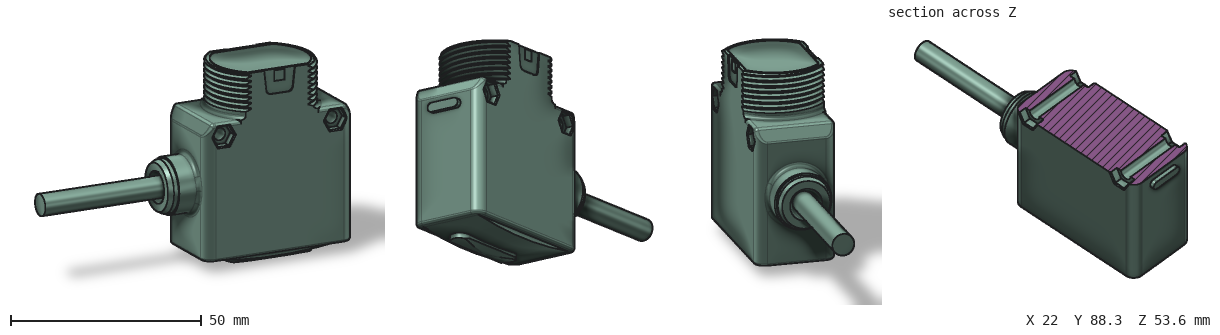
import math

import cadquery as cq


body_width = 22.0
body_length = 43.88
body_height = 37.8
corner_radius = 3.0
floor_edge_radius = 0.8
top_edge_radius = 1.0
slope_drop = 3.6
slope_angle = 30.0

barrel_top = 50.3
crest_radius = 14.85
root_radius = 13.85
thread_pitch = 1.5
thread_turns = 8
thread_start_below_top = 11.1
groove_floor_width = 0.2
groove_mouth_width = 1.35
groove_overshoot = 0.1
rim_chamfer = 0.5
neck_fillet = 1.0
lens_radius = 13.3
lens_width = 19.8
lens_recess = 0.2

marker_top_width = 9.1
marker_bottom_width = 7.6
marker_height = 6.65
marker_corner_radius = 1.5
marker_depth = 0.4
window_width = 3.0
window_height = 2.9
window_below_top = 0.35

hole_spacing = 33.0
hole_diameter = 3.4
hole_height = 34.05
nut_width = 5.5
nut_pocket_depth = 2.5
nut_chamfer = 0.35

cable_height = 19.15
gland_radius = 7.8
gland_length = 6.0
gland_fillet = 1.2
collar_radius = 7.3
collar_length = 2.75
collar_chamfer_length = 1.4
collar_end_radius = 6.55
gland_mouth_radius = 4.4
gland_mouth_depth = 2.5
cable_radius = 3.0
overall_length = 88.27

lamp_width = 9.8
lamp_height = 2.5
lamp_length = 1.31
lamp_z = 31.0

lid_width = 18.0
lid_length = 39.4
lid_sag = 1.45
dome_x = 4.0
dome_width = 5.8
dome_length = 25.3
dome_depth = 3.25
dome_rise = 1.0
dome_cross_rise = 1.1

side = body_width / 2
back = body_length / 2
front = -back
lamp_end = back + lamp_length
cable_end = lamp_end - overall_length
slope_run = slope_drop * math.tan(math.radians(slope_angle))


def make_housing():
    """Block with sloped shoulders, rounded corners and a rounded upper rim."""
    block = (
        cq.Workplane("YZ")
        .moveTo(front, 0)
        .lineTo(back, 0)
        .lineTo(back, body_height - slope_drop)
        .lineTo(back - slope_run, body_height)
        .lineTo(front + slope_run, body_height)
        .lineTo(front, body_height - slope_drop)
        .close()
        .extrude(side, both=True)
    )
    block = block.edges("|Z").fillet(corner_radius)
    block = block.faces("<Z").edges().fillet(floor_edge_radius)
    return block.faces(">Z or (not (#Z or |Z))").edges().fillet(top_edge_radius)


def thread_groove():
    """Helical cutter with a trapezoidal section, running out through the top of the barrel."""
    start = barrel_top - thread_start_below_top
    outer = crest_radius + groove_overshoot
    flank_slope = (groove_mouth_width - groove_floor_width) / (crest_radius - root_radius) / 2
    mouth = groove_mouth_width / 2 + groove_overshoot * flank_slope
    helix = cq.Wire.makeHelix(thread_pitch, thread_pitch * thread_turns, crest_radius)
    section = cq.Workplane("XZ").polyline(
        [
            (root_radius, -groove_floor_width / 2),
            (root_radius, groove_floor_width / 2),
            (outer, mouth),
            (outer, -mouth),
        ]
    ).close()
    return section.sweep(cq.Workplane(helix), isFrenet=True).translate((0, 0, start))


def make_barrel():
    """Threaded barrel with a chamfered rim, a flared foot, a recessed lens and two flats."""
    foot = body_height - neck_fillet
    barrel = (
        cq.Workplane("XZ")
        .moveTo(0, foot - neck_fillet)
        .lineTo(crest_radius + neck_fillet, foot - neck_fillet)
        .lineTo(crest_radius + neck_fillet, body_height)
        .radiusArc((crest_radius, body_height + neck_fillet), neck_fillet)
        .lineTo(crest_radius, barrel_top - rim_chamfer)
        .lineTo(crest_radius - rim_chamfer, barrel_top)
        .lineTo(0, barrel_top)
        .close()
        .revolve(360, (0, 0, 0), (0, 1, 0))
    )
    slab = cq.Workplane("XY").box(body_width, body_length, 2 * barrel_top)
    lens_floor = cq.Workplane("XY", origin=(0, 0, barrel_top - lens_recess))
    lens = lens_floor.circle(lens_radius).extrude(lens_recess)
    lens_band = cq.Workplane("XY").box(lens_width, body_length, 2 * barrel_top)
    groove = thread_groove().intersect(slab)
    return barrel.intersect(slab).cut(groove).cut(lens.intersect(lens_band))


def marker_recess():
    """Cutter for both marker recesses; each leaves a small raised window."""
    bottom = barrel_top - marker_height
    outline = [
        (-marker_top_width / 2, barrel_top),
        (marker_top_width / 2, barrel_top),
        (marker_bottom_width / 2, bottom),
        (-marker_bottom_width / 2, bottom),
    ]
    floor = side - marker_depth
    recess = cq.Workplane("YZ", origin=(floor, 0, 0)).polyline(outline).close().extrude(marker_depth)
    recess = recess.edges("|X and <Z").fillet(marker_corner_radius)
    window_z = barrel_top - window_below_top - window_height / 2
    window = cq.Workplane("YZ", origin=(floor, 0, window_z)).rect(window_width, window_height)
    recess = recess.cut(window.extrude(marker_depth / 2))
    return recess.union(recess.mirror("YZ"))


def mounting_holes():
    """Cutter for the two cross holes and their chamfered nut pockets on both sides."""
    places = [(-hole_spacing / 2, hole_height), (hole_spacing / 2, hole_height)]
    across_corners = 2 / math.sqrt(3)
    outside = cq.Workplane("YZ", origin=(-side, 0, 0)).pushPoints(places)
    holes = outside.circle(hole_diameter / 2).extrude(body_width)
    pockets = outside.polygon(6, nut_width * across_corners).extrude(nut_pocket_depth)
    mouth_width = nut_width + 2 * nut_chamfer
    mouths = outside.polygon(6, mouth_width * across_corners).extrude(nut_chamfer, taper=45)
    nut_seats = pockets.union(mouths)
    return holes.union(nut_seats).union(nut_seats.mirror("YZ"))


def make_gland():
    """Stepped gland with a conical mouth around the cable."""
    shoulder = front - gland_length
    gland_end = shoulder - collar_length
    profile = (
        cq.Workplane("XY")
        .moveTo(0, front + corner_radius)
        .lineTo(gland_radius, front + corner_radius)
        .lineTo(gland_radius, shoulder)
        .lineTo(collar_radius, shoulder)
        .lineTo(collar_radius, gland_end + collar_chamfer_length)
        .lineTo(collar_end_radius, gland_end)
        .lineTo(gland_mouth_radius, gland_end)
        .lineTo(cable_radius, gland_end + gland_mouth_depth)
        .lineTo(cable_radius, cable_end)
        .lineTo(0, cable_end)
        .close()
    )
    return profile.revolve(360, (0, 0, 0), (0, 1, 0)).translate((0, 0, cable_height))


def make_lamp():
    """Flat stadium-shaped boss on the back of the housing."""
    lamp = cq.Workplane("XZ", origin=(0, lamp_end, lamp_z)).slot2D(lamp_width, lamp_height)
    return lamp.extrude(lamp_length + floor_edge_radius)


def make_lid():
    """Lid that bulges below the floor along an arc in Y."""
    half = lid_length / 2
    return (
        cq.Workplane("YZ")
        .moveTo(-half, 0)
        .threePointArc((0, -lid_sag), (half, 0))
        .lineTo(half, floor_edge_radius)
        .lineTo(-half, floor_edge_radius)
        .close()
        .extrude(lid_width / 2, both=True)
    )


def crown_section(plane, chord, rise):
    """Section of the dome on a given plane, closed below by an arc of the given chord and rise."""
    half = chord / 2
    return (
        cq.Workplane(plane)
        .moveTo(-half, rise - dome_depth)
        .threePointArc((0, -dome_depth), (half, rise - dome_depth))
        .lineTo(half, floor_edge_radius)
        .lineTo(-half, floor_edge_radius)
        .close()
    )


def make_dome():
    """Oval lens whose lower face is crowned both across X and along Y."""
    oval = cq.Workplane("XY", origin=(dome_x, 0, -dome_depth)).slot2D(dome_length, dome_width, 90)
    oval = oval.extrude(dome_depth + floor_edge_radius)
    along = crown_section("YZ", dome_length, dome_rise).extrude(body_width, both=True)
    across = crown_section("XZ", dome_width, dome_cross_rise).extrude(body_length, both=True)
    return oval.intersect(along).intersect(across.translate((dome_x, 0, 0)))


def add_gland(housing):
    """Join the gland to the front of the housing with a fillet around its root."""
    joined = housing.union(make_gland())
    reach = gland_radius + gland_fillet / 2
    root = cq.selectors.BoxSelector(
        (-reach, front - gland_fillet / 2, cable_height - reach),
        (reach, front + gland_fillet / 2, cable_height + reach),
        boundingbox=True,
    )
    return joined.edges(root).fillet(gland_fillet)


result = add_gland(make_housing())
for addition in (make_barrel(), make_lamp(), make_lid(), make_dome()):
    result = result.union(addition)
result = result.cut(marker_recess()).cut(mounting_holes())